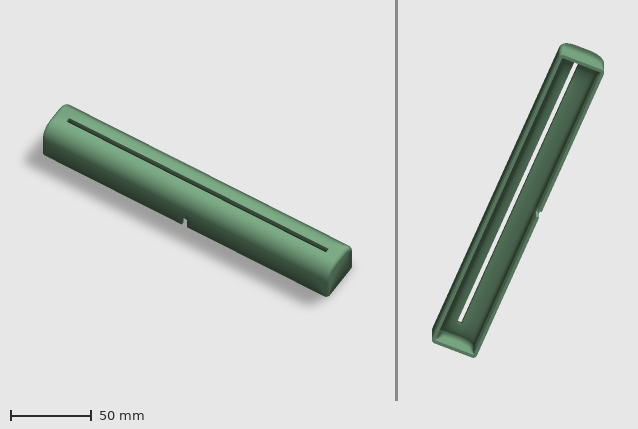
import cadquery as cq

length = 210.0
width = 30.0
height = 25.0
wall = 2.0
crown_thickness = 4.0
shoulder_radius = 10.0
end_edge_radius = 2.5

slot_length = 190.5
slot_width = 3.2

notch_width = 4.0
notch_height = 7.5
notch_corner_radius = 1.0


def arched_bar(bar_length, bar_width, bar_height, radius):
    """Bar standing on Z = 0 with its two long upper edges rounded."""
    bar = cq.Workplane("XY").box(bar_length, bar_width, bar_height, centered=(True, True, False))
    return bar.edges("|X and >Z").fillet(radius)


def make_shell():
    outer = arched_bar(length, width, height, shoulder_radius)
    for end in ("<X", ">X"):
        outer = outer.faces(end).edges("not <Z").fillet(end_edge_radius)
    cavity = arched_bar(
        length - 2 * wall,
        width - 2 * wall,
        height - crown_thickness,
        shoulder_radius - wall,
    )
    return outer.cut(cavity)


def make_crown_slot():
    crown_underside = cq.Workplane("XY").workplane(offset=height - crown_thickness)
    return crown_underside.rect(slot_length, slot_width).extrude(crown_thickness)


def make_cable_notch():
    notch = cq.Workplane("XY").box(notch_width, wall, notch_height, centered=(True, False, False))
    notch = notch.edges("|Y and >Z").fillet(notch_corner_radius)
    return notch.translate((0, -width / 2, 0))


result = make_shell().cut(make_crown_slot()).cut(make_cable_notch())